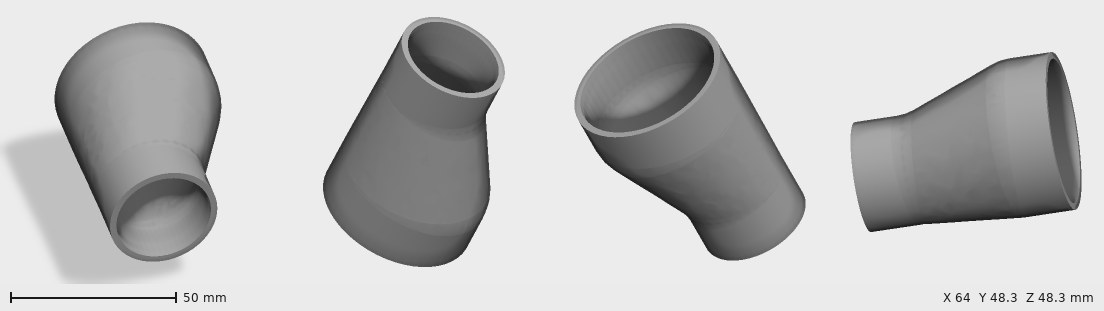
import cadquery as cq

length = 64
large_diameter = 48.3
small_diameter = 33.65
large_bore = 44.3
eccentricity = 7.3
end_pipe_length = 16
large_bend_radius = 15.0
small_bend_radius = 16

wall = (large_diameter - large_bore) / 2
cone_end = length - end_pipe_length


def solid_reducer():
    """Two cylinders joined by an oblique cone with circular ends."""
    large_pipe = cq.Workplane("YZ").circle(large_diameter / 2).extrude(end_pipe_length)
    cone = (
        cq.Workplane("YZ", origin=(end_pipe_length, 0, 0))
        .circle(large_diameter / 2)
        .workplane(offset=cone_end - end_pipe_length)
        .center(-eccentricity, 0)
        .circle(small_diameter / 2)
        .loft(ruled=True)
    )
    small_pipe = (
        cq.Workplane("YZ", origin=(cone_end, -eccentricity, 0))
        .circle(small_diameter / 2)
        .extrude(end_pipe_length)
    )
    return large_pipe.union(cone).union(small_pipe)


def round_bend(body, bend_x, radius):
    """Round the edge where a cylinder meets the cone at the given X."""
    nearest_to_bend = cq.selectors.NearestToPointSelector((bend_x, 0, 0))
    return body.edges("%CIRCLE").edges(nearest_to_bend).fillet(radius)


reducer = solid_reducer()
reducer = round_bend(reducer, end_pipe_length, large_bend_radius)
reducer = round_bend(reducer, cone_end, small_bend_radius)

result = reducer.faces("<X or >X").shell(-wall)